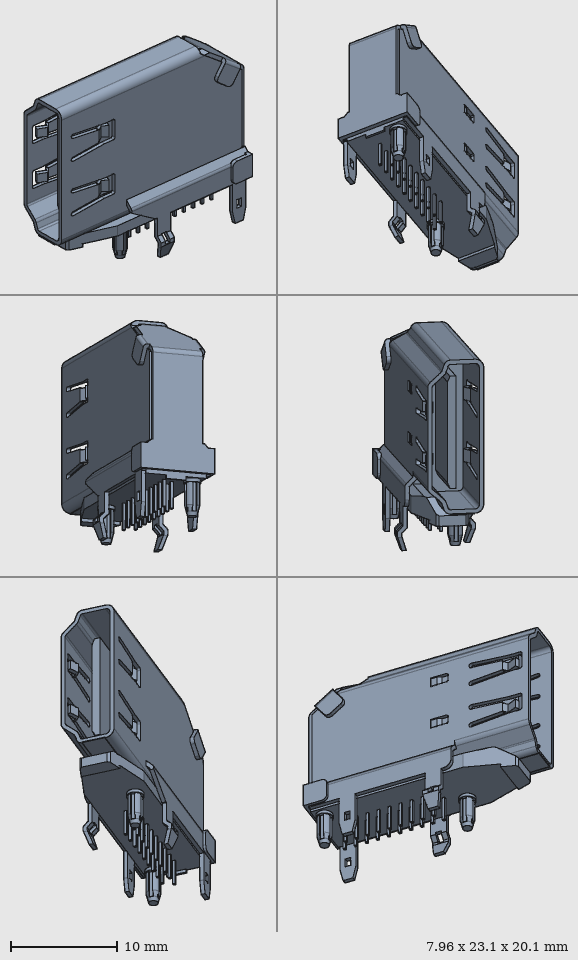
import cadquery as cq
import math


WALL = 0.42
HALF_WIDTH = 2.685
MID_Z = 8.93
HALF_HEIGHT = 7.41
TOP_Z = MID_Z + HALF_HEIGHT
BOTTOM_Z = MID_Z - HALF_HEIGHT
KEY_TOP_X = -0.96
KEY_STEP_X = -1.35
KEY_STEP_RISE = 6.33
KEY_SIDE_RISE = 5.12
FLAT_SIDE_RADIUS = 0.85
KEY_TOP_RADIUS = 0.65
KEY_STEP_RADIUS = 0.3
KEY_SIDE_RADIUS = 0.7
CAVITY_DEPTH = 8.5

STRIP_LEFT = -0.53
STRIP_RIGHT = 1.79
STRIP_DROP = 0.05
STRIP_THICKNESS = 0.08
STRIP_OVERHANG = 0.08

REAR_Y = 22.65
TOP_END_Y = 17.56
SLOPE_START_Z = 12.16
SLOPE = 0.719
SLOPE_END_Z = SLOPE_START_Z + SLOPE * (REAR_Y - TOP_END_Y)
SLOPE_ANGLE = math.degrees(math.atan(SLOPE))

PLATE_OUTER_Y = REAR_Y + WALL
PLATE_HALF_WIDTH = 2.53
PLATE_START_Z = SLOPE_START_Z + WALL * (math.hypot(1, SLOPE) - SLOPE)
PLATE_BOTTOM_Z = 0.75
PLATE_TOP_Z = 15.93
PLATE_BEND_RADIUS = 0.72
PLATE_LIP_RADIUS = 0.9
PLATE_KEY_TOP = (-0.66, 15.75)
PLATE_KEY_SIDE_Z = 14.47
PLATE_BEVEL_TOP = (1.84, 15.75)
PLATE_BEVEL_SIDE_Z = 15.46
UPPER_TAB_OUT = 0.43
UPPER_TAB_WIDTH = 2.3
UPPER_TAB_LENGTH = 2.35
UPPER_TAB_MID_Y = 21.34
UPPER_TAB_CORNER = 0.5
LOWER_TAB_X = 3.74
LOWER_TAB_THICKNESS = 0.42
LOWER_TAB_FRONT_Y = 20.6
LOWER_TAB_TOP_Z = 3.2
LOWER_TAB_CORNER = 0.55

FLANGE_X = 3.46
FLANGE_BEND_Z = 3.59
FLANGE_BOTTOM_Z = 0.61
FLANGE_BEND_RADIUS = 0.45
FLANGE_FRONT_LEFT_Y = 7.74
FLANGE_FRONT_RIGHT_Y = 8.14
FLANGE_LEFT_CORNER_RADIUS = 0.8
FLANGE_RIGHT_CORNER_HEIGHT = 1.85
FLANGE_RIGHT_CORNER_LENGTH = 3.1

OVERALL_HEIGHT = 20.1
LEG_WIDTH = 1.67
LEG_TIP_WIDTH = 1.03
LEG_BOTTOM_Z = TOP_Z - OVERALL_HEIGHT
LEG_TAPER_Z = -2.42
LEG_SLOT_WIDTH = 0.57
LEG_SLOT_TOP_Z = -1.26
LEG_SLOT_BOTTOM_Z = -2.17
LEG_BULGE_X = 3.98
LEG_BULGE_START_Z = -1.33
LEG_BULGE_END_Z = -2.28
LEG_TIP_X = 3.48
LEFT_STRAIGHT_LEG_Y = 18.6
LEFT_BENT_LEG_Y = 9.62
RIGHT_STRAIGHT_LEG_Y = 21.65
RIGHT_BENT_LEG_Y = 12.2

BASE_HALF_WIDTH = FLANGE_X - WALL
BASE_BOTTOM_Z = 0.34
BASE_TOP_Z = 2.42
BASE_EDGE_Z = 2.0
BASE_CHAMFER_X = 2.28
BASE_RIGHT_TOP_Z = 1.47
NOSE_FRONT_Y = 1.74
NOSE_TAPER_Y = 6.7
NOSE_HALF_WIDTH = 1.54
NOSE_CORNER_X = 1.28
NOSE_CORNER_Y = 1.95
NOSE_CREST_Y = 3.77
NOSE_FACE_TOP_Z = 1.02
NOSE_FOOT_REAR_Y = 3.29
CORE_FRONT_Y = 10.0
REAR_FOOT_THICKNESS = 0.2
REAR_FOOT_HALF_WIDTH = 1.0

TONGUE_LEFT = -0.39
TONGUE_RIGHT = 0.41
TONGUE_FRONT_Y = 2.18
TONGUE_HALF_HEIGHT = 5.4
TONGUE_BEVEL_X = 0.23
TONGUE_BEVEL_Z = 0.55

TAIL_COUNT = 19
TAIL_PITCH = 0.576
TAIL_FIRST_Y = 10.38
TAIL_ROW_X = 0.49
TAIL_WIDTH = 0.26
TAIL_BOTTOM_Z = -2.3
TAIL_CHAMFER = 0.06

PEGS = [(-2.0, 21.67), (1.48, 8.41)]
COLLAR_DIAMETER = 1.65
PEG_RADIUS = 0.71
PEG_TIP_RADIUS = 0.56
PEG_GROOVE_RADIUS = 0.5
PEG_END_RADIUS = 0.45
PEG_TAPER_Z = -2.2
PEG_RIB_END_Z = -2.79
PEG_END_Z = -3.22
PEG_GROOVE_WIDTH = 0.4

LEFT_FINGER_OFFSET = 2.465
RIGHT_FINGER_OFFSET = 2.98
LEFT_FINGER_HALF = 0.485
RIGHT_FINGER_HALF = 0.62
LEFT_ROOT_Y = 5.97
LEFT_BEND_Y = 2.74
LEFT_CREST_Y = 2.38
LEFT_TIP_Y = 1.41
LEFT_WINDOW_END_Y = 0.71
RIGHT_ROOT_Y = 1.46
RIGHT_BEND_Y = 4.7
RIGHT_CREST_Y = 5.4
RIGHT_TIP_Y = 6.0
RIGHT_WINDOW_END_Y = 6.7
LEFT_ROOT_SPREAD = 1.06
LEFT_ROOT_RADIUS = 0.26
RIGHT_ROOT_SPREAD = 1.25
RIGHT_ROOT_RADIUS = 0.23
FINGER_GAP = 0.485
FINGER_PRESS = 0.5
FINGER_LEAN = 0.2
SLOT_TAPER_SHARE = 0.75
WINDOW_CORNER = 0.2

LATCH_LIFT = 0.48
LATCH_HEIGHT = 0.98
LATCH_FRONT_Y = 8.43
LATCH_REAR_Y = 10.24
LATCH_RAMP_REAR_Y = 9.64
LATCH_RAMP_FRONT_Y = 9.21
LATCH_LEDGE_DEPTH = 0.12
LATCH_DEPTH = 0.36
LATCH_CORNER = 0.12

OVERLAP = 0.05
CLEARANCE = 1.0


def prism_along_x(points, x_start, x_end):
    """Prism with a (y, z) outline."""
    return cq.Workplane("YZ", origin=(x_start, 0, 0)).polyline(points).close().extrude(x_end - x_start)


def prism_along_y(points, y_start, y_end):
    """Prism with an (x, z) outline."""
    return cq.Workplane("XZ", origin=(0, y_start, 0)).polyline(points).close().extrude(y_start - y_end)


def prism_along_z(points, z_start, z_end):
    """Prism with an (x, y) outline."""
    return cq.Workplane("XY", origin=(0, 0, z_start)).polyline(points).close().extrude(z_end - z_start)


def block(x_start, x_end, y_start, y_end, z_start, z_end):
    size = (x_end - x_start, y_end - y_start, z_end - z_start)
    return cq.Workplane("XY", origin=(x_start, y_start, z_start)).box(*size, centered=False)


def tube_body():
    """Solid with the rounded outer outline of the shell; both ends of the left side are keyed."""
    corners = [
        (HALF_WIDTH, TOP_Z, FLAT_SIDE_RADIUS),
        (KEY_TOP_X, TOP_Z, KEY_TOP_RADIUS),
        (KEY_STEP_X, MID_Z + KEY_STEP_RISE, KEY_STEP_RADIUS),
        (-HALF_WIDTH, MID_Z + KEY_SIDE_RISE, KEY_SIDE_RADIUS),
    ]
    mirrored = [(x, 2 * MID_Z - z, radius) for x, z, radius in reversed(corners)]
    outline = corners + mirrored
    body = prism_along_y([(x, z) for x, z, _ in outline], 0, REAR_Y)
    for x, z, radius in outline:
        body = body.edges(cq.NearestToPointSelector((x, REAR_Y / 2, z))).fillet(radius)
    return body


def tube_cavity(body):
    return body.faces("<Y").wires().toPending().offset2D(-WALL).extrude(-CAVITY_DEPTH, combine=False)


def rear_slope_waste():
    """Everything above and behind the sloping rear of the shell."""
    return prism_along_x(
        [
            (TOP_END_Y, TOP_Z + CLEARANCE),
            (TOP_END_Y, SLOPE_END_Z),
            (REAR_Y, SLOPE_START_Z),
            (REAR_Y + CLEARANCE, SLOPE_START_Z),
            (REAR_Y + CLEARANCE, TOP_Z + CLEARANCE),
        ],
        -LOWER_TAB_X,
        LOWER_TAB_X,
    )


def seam_strip():
    return block(
        STRIP_LEFT,
        STRIP_RIGHT,
        -STRIP_OVERHANG,
        CAVITY_DEPTH,
        BOTTOM_Z - STRIP_DROP,
        BOTTOM_Z - STRIP_DROP + STRIP_THICKNESS,
    )


def flange(side, front_y):
    """Side skirt that steps outward below the tube; side is -1 for left and 1 for right."""
    step = FLANGE_X - HALF_WIDTH
    inner_drop = WALL * math.tan(math.pi / 8)
    section = [
        (HALF_WIDTH - WALL, FLANGE_BEND_Z + step),
        (HALF_WIDTH, FLANGE_BEND_Z + step),
        (HALF_WIDTH, FLANGE_BEND_Z),
        (FLANGE_X, FLANGE_BEND_Z - step),
        (FLANGE_X, FLANGE_BOTTOM_Z),
        (FLANGE_X - WALL, FLANGE_BOTTOM_Z),
        (FLANGE_X - WALL, FLANGE_BEND_Z - step - inner_drop),
        (HALF_WIDTH - WALL, FLANGE_BEND_Z - inner_drop),
    ]
    skirt = prism_along_y([(side * x, z) for x, z in section], front_y, REAR_Y)
    bend = cq.NearestToPointSelector((side * FLANGE_X, (front_y + REAR_Y) / 2, FLANGE_BEND_Z - step))
    return skirt.edges(bend).fillet(FLANGE_BEND_RADIUS)


def left_flange():
    """Flange with a rounded lower front corner."""
    corner = cq.NearestToPointSelector((-FLANGE_X + WALL / 2, FLANGE_FRONT_LEFT_Y, FLANGE_BOTTOM_Z))
    return flange(-1, FLANGE_FRONT_LEFT_Y).edges(corner).fillet(FLANGE_LEFT_CORNER_RADIUS)


def right_flange():
    """Flange with a long bevel on its lower front corner."""
    bevel = [
        (FLANGE_FRONT_RIGHT_Y, FLANGE_BOTTOM_Z),
        (FLANGE_FRONT_RIGHT_Y, FLANGE_BOTTOM_Z + FLANGE_RIGHT_CORNER_HEIGHT),
        (FLANGE_FRONT_RIGHT_Y + FLANGE_RIGHT_CORNER_LENGTH, FLANGE_BOTTOM_Z),
    ]
    return flange(1, FLANGE_FRONT_RIGHT_Y).cut(prism_along_x(bevel, 0, LOWER_TAB_X))


def leg_outline(side, mid_y):
    """Slotted, tapered leg shape, thick enough to hold any leg section."""
    half = LEG_WIDTH / 2
    half_tip = LEG_TIP_WIDTH / 2
    outline = [
        (mid_y - half, BASE_EDGE_Z),
        (mid_y + half, BASE_EDGE_Z),
        (mid_y + half, LEG_TAPER_Z),
        (mid_y + half_tip, LEG_BOTTOM_Z),
        (mid_y - half_tip, LEG_BOTTOM_Z),
        (mid_y - half, LEG_TAPER_Z),
    ]
    half_slot = LEG_SLOT_WIDTH / 2
    x_start, x_end = sorted((side * HALF_WIDTH, side * (LEG_BULGE_X + CLEARANCE)))
    slot = block(
        x_start, x_end, mid_y - half_slot, mid_y + half_slot, LEG_SLOT_BOTTOM_Z, LEG_SLOT_TOP_Z
    )
    return prism_along_x(outline, x_start, x_end).cut(slot)


def leg(side, mid_y, section):
    strip = prism_along_y([(side * x, z) for x, z in section], mid_y - LEG_WIDTH, mid_y + LEG_WIDTH)
    return strip.intersect(leg_outline(side, mid_y))


def straight_leg(side, mid_y):
    inner_x = FLANGE_X - WALL
    section = [
        (inner_x, BASE_EDGE_Z),
        (FLANGE_X, BASE_EDGE_Z),
        (FLANGE_X, LEG_BOTTOM_Z),
        (inner_x, LEG_BOTTOM_Z),
    ]
    return leg(side, mid_y, section)


def bent_leg(side, mid_y):
    """Leg whose lower end bulges outward to snap into the board."""
    inner_x = FLANGE_X - WALL
    bulge = LEG_BULGE_X - FLANGE_X
    bulge_z = LEG_BULGE_START_Z - bulge
    inner_drop = WALL * math.tan(math.pi / 8)
    section = [
        (inner_x, BASE_EDGE_Z),
        (FLANGE_X, BASE_EDGE_Z),
        (FLANGE_X, LEG_BULGE_START_Z),
        (LEG_BULGE_X, bulge_z),
        (LEG_BULGE_X, LEG_BULGE_END_Z),
        (LEG_TIP_X, LEG_BOTTOM_Z),
        (LEG_TIP_X - WALL, LEG_BOTTOM_Z),
        (LEG_BULGE_X - WALL, LEG_BULGE_END_Z),
        (LEG_BULGE_X - WALL, bulge_z - inner_drop),
        (inner_x, LEG_BULGE_START_Z - inner_drop),
    ]
    return leg(side, mid_y, section)


def rear_plate():
    """Cover folded over the vertical and sloping rear of the shell."""
    lip_y = PLATE_OUTER_Y - (PLATE_TOP_Z - PLATE_START_Z) / SLOPE
    profile = [
        (REAR_Y, PLATE_BOTTOM_Z),
        (PLATE_OUTER_Y, PLATE_BOTTOM_Z),
        (PLATE_OUTER_Y, PLATE_START_Z),
        (lip_y, PLATE_TOP_Z),
        (TOP_END_Y, PLATE_TOP_Z),
        (TOP_END_Y, SLOPE_END_Z),
        (REAR_Y, SLOPE_START_Z),
    ]
    sheet = prism_along_x(profile, -LOWER_TAB_X, LOWER_TAB_X)
    bend = cq.NearestToPointSelector((0, PLATE_OUTER_Y, PLATE_START_Z))
    lip = cq.NearestToPointSelector((0, lip_y, PLATE_TOP_Z))
    sheet = sheet.edges(bend).fillet(PLATE_BEND_RADIUS)
    sheet = sheet.edges(lip).fillet(PLATE_LIP_RADIUS)
    wing_foot_x = HALF_WIDTH + FLANGE_BEND_Z - LOWER_TAB_TOP_Z
    right_wing = [
        (PLATE_HALF_WIDTH, FLANGE_BEND_Z),
        (HALF_WIDTH, FLANGE_BEND_Z),
        (wing_foot_x, LOWER_TAB_TOP_Z),
        (LOWER_TAB_X, LOWER_TAB_TOP_Z),
        (LOWER_TAB_X, PLATE_BOTTOM_Z),
    ]
    left_wing = [(-x, z) for x, z in reversed(right_wing)]
    upper_edge = [
        (-PLATE_HALF_WIDTH, PLATE_KEY_SIDE_Z),
        PLATE_KEY_TOP,
        (PLATE_KEY_TOP[0], TOP_Z),
        (PLATE_BEVEL_TOP[0], TOP_Z),
        PLATE_BEVEL_TOP,
        (PLATE_HALF_WIDTH, PLATE_BEVEL_SIDE_Z),
    ]
    outline = left_wing + upper_edge + right_wing
    return sheet.intersect(prism_along_y(outline, 0, PLATE_OUTER_Y))


def upper_tab(side):
    """Tab folded from the sloping part of the cover down along the side wall."""
    mid_z = PLATE_START_Z + SLOPE * (PLATE_OUTER_Y - UPPER_TAB_MID_Y)
    x_start = PLATE_HALF_WIDTH - OVERLAP
    x_end = HALF_WIDTH + UPPER_TAB_OUT
    tab = block(x_start, x_end, -UPPER_TAB_WIDTH / 2, UPPER_TAB_WIDTH / 2, -UPPER_TAB_LENGTH, 0)
    tab = tab.edges("|X and <Z").fillet(UPPER_TAB_CORNER)
    tab = tab.edges(">X and >Z").fillet(UPPER_TAB_OUT - OVERLAP)
    tab = tab.rotate((0, 0, 0), (1, 0, 0), -SLOPE_ANGLE).translate((0, UPPER_TAB_MID_Y, mid_z))
    return tab if side > 0 else tab.mirror("YZ")


def lower_tab(side):
    """Tab folded from the wing of the cover forward along the flange."""
    x_start = LOWER_TAB_X - LOWER_TAB_THICKNESS
    tab = block(x_start, LOWER_TAB_X, LOWER_TAB_FRONT_Y, PLATE_OUTER_Y, PLATE_BOTTOM_Z, LOWER_TAB_TOP_Z)
    tab = tab.edges("|X and <Y").fillet(LOWER_TAB_CORNER)
    tab = tab.edges(">X and >Y").fillet(LOWER_TAB_THICKNESS - OVERLAP)
    return tab if side > 0 else tab.mirror("YZ")


def housing_base():
    """Housing floor between the flanges, with a tapered nose below the mating end."""
    plan = [
        (NOSE_CORNER_X, NOSE_FRONT_Y),
        (NOSE_HALF_WIDTH, NOSE_CORNER_Y),
        (BASE_HALF_WIDTH, NOSE_TAPER_Y),
        (BASE_HALF_WIDTH, REAR_Y),
    ]
    plan = plan + [(-x, y) for x, y in reversed(plan)]
    side_profile = [
        (NOSE_FRONT_Y, 0),
        (NOSE_FRONT_Y, NOSE_FACE_TOP_Z),
        (NOSE_CREST_Y, BASE_TOP_Z),
        (REAR_Y, BASE_TOP_Z),
        (REAR_Y, BASE_BOTTOM_Z),
        (NOSE_FOOT_REAR_Y, BASE_BOTTOM_Z),
        (NOSE_FOOT_REAR_Y, 0),
    ]
    section = [
        (-BASE_HALF_WIDTH, 0),
        (-BASE_HALF_WIDTH, BASE_EDGE_Z),
        (-BASE_CHAMFER_X, BASE_TOP_Z),
        (0, BASE_TOP_Z),
        (0, BASE_RIGHT_TOP_Z),
        (BASE_HALF_WIDTH, BASE_RIGHT_TOP_Z),
        (BASE_HALF_WIDTH, 0),
    ]
    base = prism_along_z(plan, 0, BASE_TOP_Z)
    base = base.intersect(prism_along_x(side_profile, -BASE_HALF_WIDTH, BASE_HALF_WIDTH))
    return base.intersect(prism_along_y(section, 0, REAR_Y))


def housing_core():
    """Housing body between the side walls, reaching down to the base."""
    return block(WALL - HALF_WIDTH, HALF_WIDTH - WALL, CORE_FRONT_Y, REAR_Y, BASE_BOTTOM_Z, MID_Z)


def rear_foot():
    return block(
        -REAR_FOOT_HALF_WIDTH, REAR_FOOT_HALF_WIDTH, REAR_Y - REAR_FOOT_THICKNESS, REAR_Y, 0, BASE_TOP_Z
    )


def tongue():
    top_z = MID_Z + TONGUE_HALF_HEIGHT
    bottom_z = MID_Z - TONGUE_HALF_HEIGHT
    outline = [
        (TONGUE_RIGHT, top_z),
        (TONGUE_LEFT + TONGUE_BEVEL_X, top_z),
        (TONGUE_LEFT, top_z - TONGUE_BEVEL_Z),
        (TONGUE_LEFT, bottom_z + TONGUE_BEVEL_Z),
        (TONGUE_LEFT + TONGUE_BEVEL_X, bottom_z),
        (TONGUE_RIGHT, bottom_z),
    ]
    return prism_along_y(outline, TONGUE_FRONT_Y, CAVITY_DEPTH + OVERLAP)


def contact_tails():
    """Square tails in two staggered rows."""
    tails = cq.Workplane("XY")
    half = TAIL_WIDTH / 2
    for index in range(TAIL_COUNT):
        x = TAIL_ROW_X if index % 2 == 0 else -TAIL_ROW_X
        y = TAIL_FIRST_Y + index * TAIL_PITCH
        tail = block(x - half, x + half, y - half, y + half, TAIL_BOTTOM_Z, BASE_BOTTOM_Z + OVERLAP)
        tails = tails.add(tail.faces("<Z").chamfer(TAIL_CHAMFER))
    return tails.combine()


def peg(x, y):
    """Grooved locating peg with a standoff collar and a conical tip."""
    half_profile = [
        (0, BASE_BOTTOM_Z + OVERLAP),
        (PEG_RADIUS, BASE_BOTTOM_Z + OVERLAP),
        (PEG_RADIUS, PEG_TAPER_Z),
        (PEG_TIP_RADIUS, PEG_RIB_END_Z),
        (PEG_END_RADIUS, PEG_END_Z),
        (0, PEG_END_Z),
    ]
    body = cq.Workplane("XZ").polyline(half_profile).close().revolve(360, (0, 0, 0), (0, 1, 0))
    half_groove = PEG_GROOVE_WIDTH / 2
    groove = block(
        PEG_GROOVE_RADIUS, PEG_RADIUS + OVERLAP, -half_groove, half_groove, PEG_RIB_END_Z, 0
    )
    for angle in (0, 90, 180, 270):
        body = body.cut(groove.rotate((0, 0, 0), (0, 0, 1), angle))
    collar = cq.Workplane("XY").circle(COLLAR_DIAMETER / 2).extrude(BASE_BOTTOM_Z + OVERLAP)
    return body.union(collar).translate((x, y, 0))


def finger_opening(side, mid_z, half_width, root_y, bend_y, end_y, root_spread, root_radius):
    """Slots flanking a spring finger, round at its root, joined by the window around its pressed end."""
    straight_y = root_y + SLOT_TAPER_SHARE * (end_y - root_y)
    outer = half_width + FINGER_GAP
    x_start, x_end = sorted((side * (HALF_WIDTH - WALL - OVERLAP), side * (HALF_WIDTH + OVERLAP)))
    y_start, y_end = sorted((bend_y, end_y))
    opening = block(x_start, x_end, y_start, y_end, mid_z - outer, mid_z + outer)
    for up in (-1, 1):
        outline = [
            (root_y, mid_z + up * (root_spread - root_radius)),
            (straight_y, mid_z + up * half_width),
            (end_y, mid_z + up * half_width),
            (end_y, mid_z + up * outer),
            (straight_y, mid_z + up * outer),
            (root_y, mid_z + up * (root_spread + root_radius)),
        ]
        root_end = cq.Workplane("YZ", origin=(x_start, root_y, mid_z + up * root_spread))
        opening = opening.union(prism_along_x(outline, x_start, x_end))
        opening = opening.union(root_end.circle(root_radius).extrude(x_end - x_start))
    end_corners = "|X and <Y" if end_y < root_y else "|X and >Y"
    return opening.edges(end_corners).fillet(WINDOW_CORNER)


def pressed_finger(side, mid_z, half_width, bend_y, crest_y, tip_y):
    """Free end of a finger: runs inward to a crest and back out to its tip."""
    outer = HALF_WIDTH
    inner = HALF_WIDTH - WALL
    forward = math.copysign(1, tip_y - bend_y)
    root_y = bend_y - forward * OVERLAP
    outline = [
        (outer, root_y),
        (outer, bend_y),
        (outer - FINGER_PRESS, crest_y),
        (outer - OVERLAP, tip_y),
        (inner - OVERLAP, tip_y + forward * FINGER_LEAN),
        (inner - FINGER_PRESS, crest_y + forward * FINGER_LEAN),
        (inner, bend_y),
        (inner, root_y),
    ]
    return prism_along_z([(side * x, y) for x, y in outline], mid_z - half_width, mid_z + half_width)


def add_left_finger(shell, mid_z):
    """Finger rooted at the rear, its tip near the mating face."""
    opening = finger_opening(
        -1,
        mid_z,
        LEFT_FINGER_HALF,
        LEFT_ROOT_Y,
        LEFT_BEND_Y,
        LEFT_WINDOW_END_Y,
        LEFT_ROOT_SPREAD,
        LEFT_ROOT_RADIUS,
    )
    finger = pressed_finger(-1, mid_z, LEFT_FINGER_HALF, LEFT_BEND_Y, LEFT_CREST_Y, LEFT_TIP_Y)
    return shell.cut(opening).union(finger)


def add_right_finger(shell, mid_z):
    """Finger rooted at the mating face, its tip towards the rear."""
    opening = finger_opening(
        1,
        mid_z,
        RIGHT_FINGER_HALF,
        RIGHT_ROOT_Y,
        RIGHT_BEND_Y,
        RIGHT_WINDOW_END_Y,
        RIGHT_ROOT_SPREAD,
        RIGHT_ROOT_RADIUS,
    )
    finger = pressed_finger(1, mid_z, RIGHT_FINGER_HALF, RIGHT_BEND_Y, RIGHT_CREST_Y, RIGHT_TIP_Y)
    return shell.cut(opening).union(finger)


def latch_recess(mid_z):
    """Ramped recess pressed into the left wall."""
    outline = [
        (-HALF_WIDTH - OVERLAP, LATCH_REAR_Y),
        (-HALF_WIDTH + LATCH_LEDGE_DEPTH, LATCH_REAR_Y),
        (-HALF_WIDTH + LATCH_LEDGE_DEPTH, LATCH_RAMP_REAR_Y),
        (-HALF_WIDTH + LATCH_DEPTH, LATCH_RAMP_FRONT_Y),
        (-HALF_WIDTH + LATCH_DEPTH, LATCH_FRONT_Y),
        (-HALF_WIDTH - OVERLAP, LATCH_FRONT_Y),
    ]
    recess = prism_along_z(outline, mid_z - LATCH_HEIGHT / 2, mid_z + LATCH_HEIGHT / 2)
    return recess.edges("|X and <Y").chamfer(LATCH_CORNER)


tube = tube_body()
cavity = tube_cavity(tube)
result = tube.union(housing_core()).cut(rear_slope_waste())
result = result.union(housing_base()).union(seam_strip()).cut(cavity).union(tongue())
result = result.union(rear_foot())

for direction in (-1, 1):
    left_mid_z = MID_Z + direction * LEFT_FINGER_OFFSET
    result = add_left_finger(result, left_mid_z)
    result = result.cut(latch_recess(left_mid_z + LATCH_LIFT))
    result = add_right_finger(result, MID_Z + direction * RIGHT_FINGER_OFFSET)

result = result.union(left_flange()).union(right_flange())
result = result.union(straight_leg(-1, LEFT_STRAIGHT_LEG_Y)).union(bent_leg(-1, LEFT_BENT_LEG_Y))
result = result.union(straight_leg(1, RIGHT_STRAIGHT_LEG_Y)).union(bent_leg(1, RIGHT_BENT_LEG_Y))
result = result.union(rear_plate())
for direction in (-1, 1):
    result = result.union(upper_tab(direction)).union(lower_tab(direction))

result = result.union(contact_tails())
for peg_x, peg_y in PEGS:
    result = result.union(peg(peg_x, peg_y))